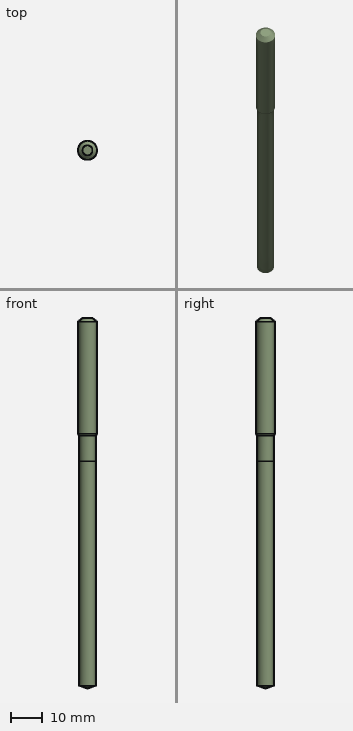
import cadquery as cq
import math

total_length = 116.0
shank_diameter = 6.0
drill_diameter = 5.3
point_angle = 140.0
cutting_length = 71.2
shank_length = 36.2
shoulder_height = 0.7
top_flat_diameter = 3.1
top_chamfer_height = 1.2

shank_radius = shank_diameter / 2
drill_radius = drill_diameter / 2
top_flat_radius = top_flat_diameter / 2
point_height = drill_radius / math.tan(math.radians(point_angle / 2))
shank_bottom = total_length - shank_length
neck_top = shank_bottom - shoulder_height
chamfer_bottom = total_length - top_chamfer_height


def revolve_about_z(profile):
    """Turn a closed (radius, height) outline into a solid around the Z axis."""
    return cq.Workplane("XZ").polyline(profile).close().revolve(360, (0, 0, 0), (0, 1, 0))


def make_cutting_part():
    """Cylindrical cutting length with a conical point."""
    return revolve_about_z([
        (0, 0),
        (drill_radius, point_height),
        (drill_radius, cutting_length),
        (0, cutting_length),
    ])


def make_shank():
    """Neck, conical shoulder and shank with a chamfered top end."""
    return revolve_about_z([
        (0, cutting_length),
        (drill_radius, cutting_length),
        (drill_radius, neck_top),
        (shank_radius, shank_bottom),
        (shank_radius, chamfer_bottom),
        (top_flat_radius, total_length),
        (0, total_length),
    ])


cutting_part = make_cutting_part()
shank = make_shank()

result = cq.Compound.makeCompound([cutting_part.val(), shank.val()])